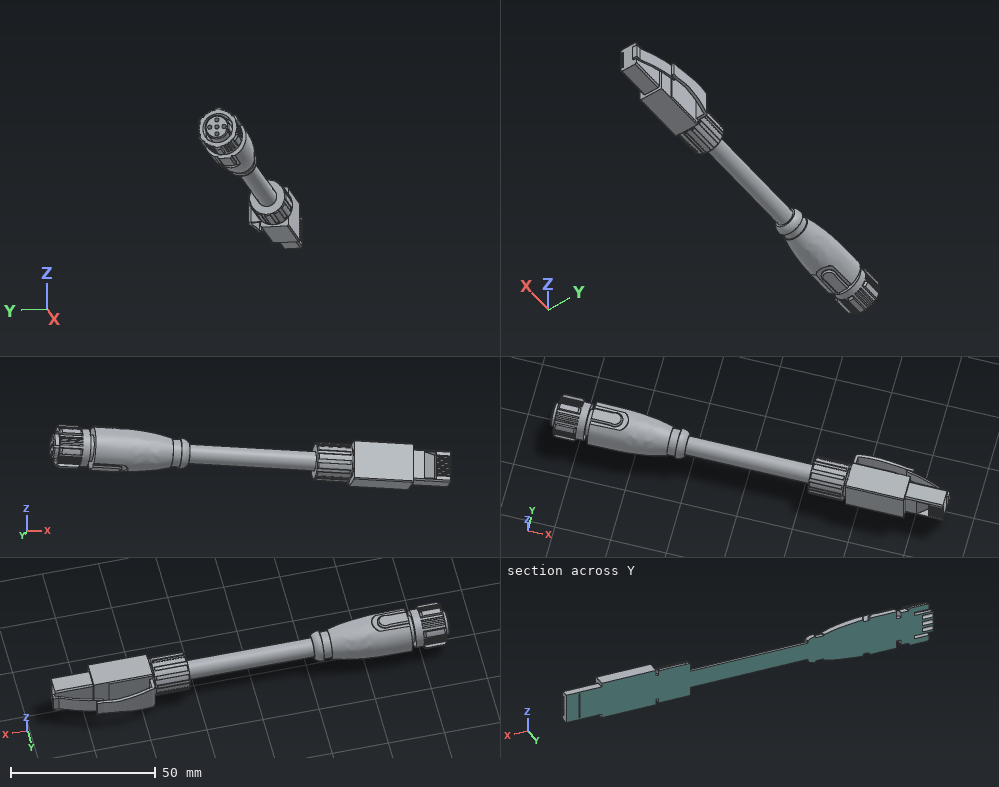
import cadquery as cq
import math

total_length = 141.3

nut_start = 1.7
ridges_end = 9.7
nut_end = 12.6
boot_start = 14.1
boot_straight_pole = 25.5
boot_taper_pole = 33.2
boot_end = 42.1
flange_start = 45.1
flange_end = 48.2
gland_start = 93.0
gland_end = 105.3
body_start = 106.1
body_end = 127.0
plug_end = 140.6

cable_radius = 3.4
insert_radius = 4.2
nut_bore_radius = 5.2
nut_radius = 6.6
ridge_radius = 7.6
neck_radius = 4.7
boot_radius = 7.6
boot_tip_radius = 5.2
boot_groove_radius = 4.8
flange_radius = 5.4
flange_flat = 0.4
flange_end_radius = 4.1
gland_radius = 6.6
gland_neck_radius = 5.0

ridge_count = 6
ridge_width = 2.1
ridge_chamfer = 0.7
rib_radius = 6.9
rib_width = 0.5
rib_pitch = 10.0
nut_bore_depth = 5.7

contact_hole_radius = 0.7
contact_circle_radius = 2.5
contact_hole_depth = 4.2
insert_chamfer = 0.4
key_width = 0.8
key_depth = 0.7
key_angle = 200.0

panel_floor = 6.6
panel_half_width = 3.8
panel_end = 26.8
panel_nose_ratio = 1.5
pad_top = 7.5
pad_half_width = 2.5
pad_end = 24.9
pad_chamfer = 0.5

flute_count = 12
flute_angle = 11.5
flute_depth = 0.4
flute_end_gap = 0.5
gland_chamfer = 0.4

body_low_y = -5.1
body_high_y = 4.8
body_step_y = 4.4
body_step_x = 121.7
body_height = 14.1
body_edge_chamfer = 0.4
plug_half_depth = 3.4
plug_height = 11.3
plug_edge_chamfer = 0.5
recess_start = 131.3
recess_height = 9.5
recess_depth = 3.5
contact_start = 135.5
contact_count = 8
contact_pitch = 1.0
slot_width = 0.5
slot_depth = 1.1

latch_crest_y = 10.3
latch_width = 10.0
latch_taper_start = 107.7
latch_taper_end = 119.4
latch_back_y = 8.2
latch_corner_mid = (106.5, 8.9)
latch_corner_top_y = 9.3
latch_crest_x = 114.7
latch_thickness = 1.1
latch_lip_top_y = 9.6
latch_lip_low_y = 8.6
latch_lip_start = 124.6
latch_root_y = 0.0
arm_kink_x = 133.1
arm_kink_y = 6.2
arm_thickness = 0.7
arm_width = 6.0
nose_start = 139.3
nose_low_y = 2.1
nose_high_y = 4.1


def rod(start, end, radius):
    """Cylinder on the X axis between two stations."""
    return cq.Workplane("YZ", origin=(start, 0, 0)).circle(radius).extrude(end - start)


def block(x_range, y_range, height):
    """Box between two stations and two Y levels, centred on Z = 0."""
    length = x_range[1] - x_range[0]
    depth = y_range[1] - y_range[0]
    corner = (x_range[0], y_range[0], -height / 2)
    return cq.Workplane("XY").box(length, depth, height, centered=False).translate(corner)


def turned(shape, angle):
    """Shape turned about the X axis."""
    return shape.rotate((0, 0, 0), (1, 0, 0), angle)


def socket_insert():
    insert = rod(0, boot_start, insert_radius).faces("<X").chamfer(insert_chamfer)
    centres = [(0, 0)]
    for quarter in range(4):
        angle = quarter * math.pi / 2
        centres.append((contact_circle_radius * math.cos(angle), contact_circle_radius * math.sin(angle)))
    holes = cq.Workplane("YZ").pushPoints(centres).circle(contact_hole_radius).extrude(contact_hole_depth)
    key = block((0, nut_bore_depth), (insert_radius - key_depth, insert_radius + key_depth), key_width)
    return insert.cut(holes).cut(turned(key, key_angle))


def coupling_nut():
    nut = rod(nut_start, nut_end, nut_radius)
    ridge_blank = rod(nut_start, ridges_end, ridge_radius).faces("<X or >X").chamfer(ridge_chamfer)
    rib_blank = rod(nut_start, ridges_end, rib_radius)
    ridge_bar = block((nut_start, ridges_end), (nut_bore_radius, ridge_radius), ridge_width)
    rib_bar = block((nut_start, ridges_end), (nut_bore_radius, ridge_radius), rib_width)
    ridge_pitch = 360 / ridge_count
    for index in range(ridge_count):
        angle = 90 + index * ridge_pitch
        nut = nut.union(turned(ridge_bar, angle).intersect(ridge_blank))
        for step in (-1, 0, 1):
            rib_angle = angle + ridge_pitch / 2 + step * rib_pitch
            nut = nut.union(turned(rib_bar, rib_angle).intersect(rib_blank))
    return nut.cut(rod(nut_start, nut_start + nut_bore_depth, nut_bore_radius))


def boot_panel(start, end, half_width, low, high):
    """Slab between two Z levels with a rounded end toward +X."""
    nose_x = end - panel_nose_ratio * half_width
    outline = (
        cq.Workplane("XY", origin=(0, 0, low))
        .moveTo(start, -half_width)
        .lineTo(nose_x, -half_width)
        .threePointArc((end, 0), (nose_x, half_width))
        .lineTo(start, half_width)
        .close()
    )
    return outline.extrude(high - low)


def boot():
    taper_poles = [
        (boot_straight_pole, boot_radius),
        (boot_taper_pole, boot_radius),
        (boot_end, boot_tip_radius),
    ]
    shell = (
        cq.Workplane("XY")
        .moveTo(nut_end, 0)
        .lineTo(nut_end, neck_radius)
        .lineTo(boot_start, neck_radius)
        .lineTo(boot_start, boot_radius)
        .bezier(taper_poles, includeCurrent=True)
        .lineTo(boot_end, boot_groove_radius)
        .lineTo(flange_start, boot_groove_radius)
        .lineTo(flange_start, flange_radius)
        .lineTo(flange_start + flange_flat, flange_radius)
        .tangentArcPoint((flange_end, flange_end_radius), relative=False)
        .lineTo(flange_end, 0)
        .close()
        .revolve(360, (0, 0, 0), (1, 0, 0))
    )
    cutter = boot_panel(boot_start, panel_end, panel_half_width, panel_floor, boot_radius)
    pad = boot_panel(boot_start, pad_end, pad_half_width, panel_floor, pad_top)
    pad = pad.faces(">Z").edges("not <X").chamfer(pad_chamfer)
    for angle in (0, 180):
        shell = shell.cut(turned(cutter, angle)).union(turned(pad, angle))
    return shell


def gland():
    nut = rod(gland_start, gland_end, gland_radius).faces("<X").chamfer(gland_chamfer)
    flute_width = 2 * gland_radius * math.sin(math.radians(flute_angle / 2))
    flute = block(
        (gland_start, gland_end - flute_end_gap),
        (gland_radius - flute_depth, gland_radius + flute_depth),
        flute_width,
    )
    pitch = 360 / flute_count
    for index in range(flute_count):
        nut = nut.cut(turned(flute, (index + 0.5) * pitch))
    return nut.union(rod(gland_end, body_start, gland_neck_radius))


def plug_body():
    body = block((body_start, body_end), (body_low_y, body_high_y), body_height)
    body = body.edges("|X").chamfer(body_edge_chamfer)
    step = block((body_step_x, body_end), (body_step_y, body_high_y), body_height)
    return body.cut(step)


def plug_tongue():
    tongue = block((body_end, plug_end), (-plug_half_depth, plug_half_depth), plug_height)
    tongue = tongue.edges("|X").chamfer(plug_edge_chamfer)
    face_y = -plug_half_depth
    ramp = (
        cq.Workplane("XY", origin=(0, 0, -recess_height / 2))
        .moveTo(recess_start, face_y)
        .lineTo(contact_start, face_y)
        .lineTo(contact_start, face_y + recess_depth)
        .close()
        .extrude(recess_height)
    )
    tongue = tongue.cut(ramp)
    slot = block((contact_start, plug_end), (face_y, face_y + slot_depth), slot_width)
    for index in range(contact_count):
        slot_z = (index - (contact_count - 1) / 2) * contact_pitch
        tongue = tongue.cut(slot.translate((0, 0, slot_z)))
    return tongue


def latch():
    wall_back = body_start + latch_thickness
    arch = (
        cq.Workplane("XY", origin=(0, 0, -latch_width / 2))
        .moveTo(body_start, latch_root_y)
        .lineTo(body_start, latch_back_y)
        .threePointArc(latch_corner_mid, (latch_taper_start, latch_corner_top_y))
        .threePointArc((latch_crest_x, latch_crest_y), (latch_lip_start, latch_lip_top_y))
        .lineTo(body_end, latch_lip_top_y)
        .lineTo(body_end, latch_lip_low_y)
        .lineTo(latch_lip_start, latch_lip_low_y)
        .threePointArc((latch_crest_x, latch_crest_y - latch_thickness), (wall_back, latch_back_y))
        .lineTo(wall_back, latch_root_y)
        .close()
        .extrude(latch_width)
    )
    plan = (
        cq.Workplane("XZ")
        .moveTo(body_start, -latch_width / 2)
        .lineTo(latch_taper_start, -latch_width / 2)
        .lineTo(latch_taper_end, -arm_width / 2)
        .lineTo(body_end, -arm_width / 2)
        .lineTo(body_end, arm_width / 2)
        .lineTo(latch_taper_end, arm_width / 2)
        .lineTo(latch_taper_start, latch_width / 2)
        .lineTo(body_start, latch_width / 2)
        .close()
        .extrude(-latch_crest_y)
    )
    arm = (
        cq.Workplane("XY", origin=(0, 0, -arm_width / 2))
        .moveTo(latch_lip_start, latch_lip_low_y)
        .threePointArc((arm_kink_x, arm_kink_y + arm_thickness / 2), (nose_start, nose_high_y))
        .lineTo(nose_start, nose_high_y - arm_thickness)
        .threePointArc(
            (arm_kink_x, arm_kink_y - arm_thickness / 2),
            (latch_lip_start, latch_lip_low_y - arm_thickness),
        )
        .close()
        .extrude(arm_width)
    )
    nose = block((nose_start, total_length), (nose_low_y, nose_high_y), arm_width)
    return arch.intersect(plan).union(arm).union(nose)


cable = rod(flange_start, gland_end, cable_radius)

result = socket_insert()
for piece in (coupling_nut(), boot(), cable, gland(), plug_body(), plug_tongue(), latch()):
    result = result.union(piece)